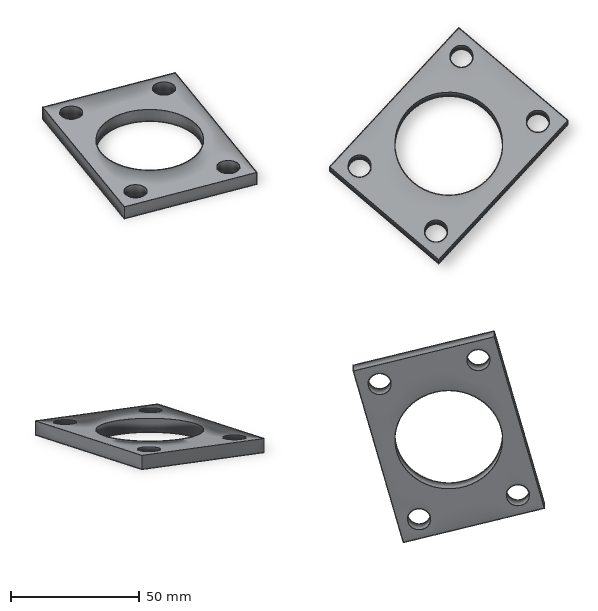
import cadquery as cq

length = 76.0
width = 57.0
thickness = 5.6

bore_diameter = 42.0
bolt_hole_diameter = 9.0
bolt_spacing_x = 59.9
bolt_spacing_y = 39.9

plate = cq.Workplane("XY").box(length, width, thickness)

plate = plate.faces(">Z").workplane().hole(bore_diameter)

result = (
    plate.faces(">Z")
    .workplane(origin=(0, 0, 0))
    .rect(bolt_spacing_x, bolt_spacing_y, forConstruction=True)
    .vertices()
    .hole(bolt_hole_diameter)
)